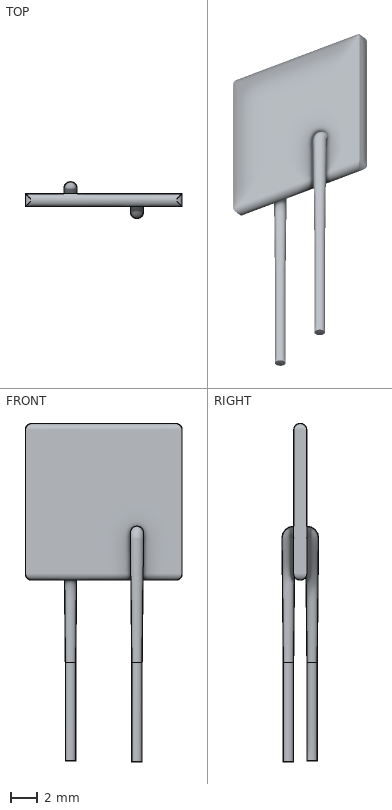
import cadquery as cq
import math


plate_width = 12.0
plate_height = 12.0
plate_thickness = 1.0
edge_radius = plate_thickness / 2

lead_pitch = 5.08
wire_radius = 0.405
sleeve_top_radius = 0.505
bend_radius = wire_radius
wire_offset = plate_thickness / 2 + bend_radius

bend_start_z = -2.78
sleeve_end_z = -12.3
front_wire_end_z = -19.9
back_wire_end_z = -19.83


def make_plate():
    """Plate with rounded top and bottom rims, mitred at the four corners, and sharp upright edges."""
    end_profile = (
        cq.Workplane("YZ")
        .slot2D(plate_height, plate_thickness, 90)
        .extrude(plate_width / 2, both=True)
    )
    face_profile = (
        cq.Workplane("XZ")
        .rect(plate_width, plate_height)
        .extrude(plate_thickness / 2, both=True)
        .edges("|Y")
        .fillet(edge_radius)
    )
    return end_profile.intersect(face_profile)


def make_sleeve():
    """Upper lead section on the front face: a tapered stem that bends over into the plate face."""
    stem = (
        cq.Workplane("XY", origin=(0, -wire_offset, sleeve_end_z))
        .circle(wire_radius)
        .workplane(offset=bend_start_z - sleeve_end_z)
        .circle(sleeve_top_radius)
        .loft()
    )

    chord_half = math.sqrt(sleeve_top_radius**2 - bend_radius**2)
    bend = (
        cq.Workplane("XY", origin=(0, -plate_thickness / 2, bend_start_z))
        .moveTo(-chord_half, 0)
        .threePointArc((0, -bend_radius - sleeve_top_radius), (chord_half, 0))
        .close()
        .revolve(90, (0, 0), (-1, 0))
    )
    return stem.union(bend)


def make_wire(end_z):
    """Straight lower lead section on the front face, butted against the sleeve's lower end."""
    return (
        cq.Workplane("XY", origin=(0, -wire_offset, end_z))
        .circle(wire_radius)
        .extrude(sleeve_end_z - end_z)
    )


leads = [(0, front_wire_end_z), (180, back_wire_end_z)]

plate = make_plate()
sleeves = []
wires = []
for turn, wire_end_z in leads:
    spin = cq.Location(cq.Vector(0, 0, 0), cq.Vector(0, 0, 1), turn)
    place = spin * cq.Location(cq.Vector(lead_pitch / 2, 0, 0))
    sleeve = make_sleeve().solids().val().moved(place)
    wire = make_wire(wire_end_z).val().moved(place)
    plate = plate.cut(cq.Workplane(sleeve))
    sleeves.append(sleeve)
    wires.append(wire)

result = cq.Compound.makeCompound([plate.solids().val(), *sleeves, *wires])